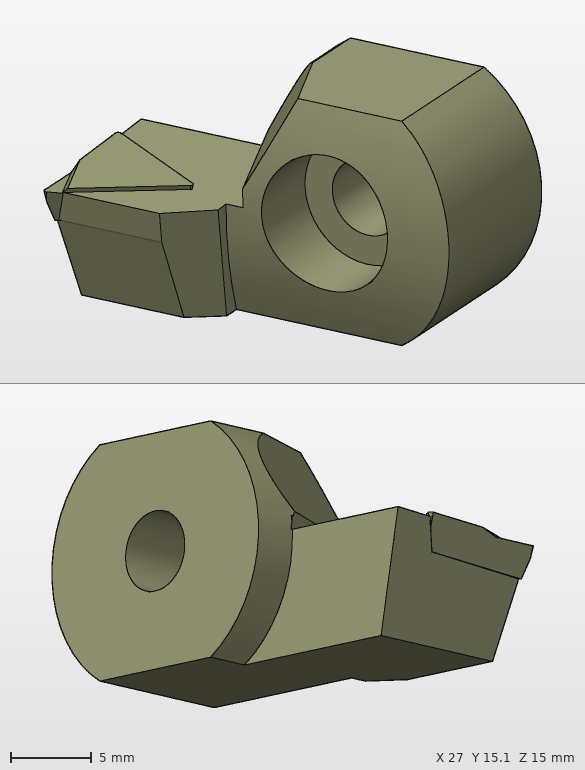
import cadquery as cq
import math


head_radius = 8.9
height = 15.0
half_height = height / 2
crown_depth = 11.5
edge_depth = 10.2
bore_diameter = 5.1
counterbore_diameter = 9.0
counterbore_depth = 5.4

block_back = -3.02
block_bottom_left = -16.51
block_right = -7.03
left_draft = 10.4
lower_front_draft = 14.0
upper_front_draft = 8.0
draft_change_z = -2.18
block_front_y = -14.28
corner_angle = 35.0
upper_corner_x = -10.02
block_rough_top = 1.35

seat_tilt = 3.0
seat_back_z = 0.45
shoulder_x = -8.84
shoulder_turn = 19.5
shoulder_wall = 1.25
shoulder_lean = 30.0

insert_left = -18.05
insert_back_y = -5.77
insert_side = 9.56
insert_thickness = 2.37
insert_draft = 11.0
insert_nose_radius = 0.2
insert_lift = 0.3

breaker_start_y = -11.5
breaker_z = -0.04
breaker_rake = 8.0
breaker_ramp_angle = 45.0

cut_reach = 26.95


def tangent(angle):
    return math.tan(math.radians(angle))


def tilted_plane(origin):
    """Workplane parallel to the seat, with its local X along X."""
    return cq.Plane(origin=origin, xDir=(1, 0, 0), normal=(0, 0, 1)).rotated((seat_tilt, 0, 0))


def shoulder_plane(origin):
    """Profile plane across the shoulder: its normal runs along the shoulder, towards the front."""
    turned = tilted_plane(origin).rotated((0, 0, shoulder_turn))
    return cq.Plane(origin=origin, xDir=turned.xDir, normal=-turned.yDir)


def make_crowned_slab():
    """Full-height slab, flat at the back and crowned at the front."""
    return (
        cq.Workplane("YZ", origin=(-head_radius, 0, 0))
        .moveTo(0, -half_height)
        .lineTo(-edge_depth, -half_height)
        .threePointArc((-crown_depth, 0), (-edge_depth, half_height))
        .lineTo(0, half_height)
        .close()
        .extrude(2 * head_radius)
    )


def make_head():
    disc = cq.Workplane("XZ").circle(head_radius).extrude(crown_depth)
    web = cq.Workplane("XY").box(
        -block_right, crown_depth + block_back, half_height + block_rough_top, centered=False
    ).translate((block_right, -crown_depth, -half_height))
    return disc.union(web).intersect(make_crowned_slab())


def block_section(z, front_y, corner_x):
    """Horizontal outline of the block at one height."""
    left = block_bottom_left - (z + half_height) * tangent(left_draft)
    bevel_end_y = front_y + (block_right - corner_x) * tangent(corner_angle)
    points = [
        (left, block_back),
        (left, front_y),
        (corner_x, front_y),
        (block_right, bevel_end_y),
        (block_right, block_back),
    ]
    return cq.Wire.makePolygon([cq.Vector(x, y, z) for x, y in points], close=True)


def make_block():
    lower_height = draft_change_z + half_height
    bottom_y = block_front_y + lower_height * tangent(lower_front_draft)
    top_y = block_front_y - (block_rough_top - draft_change_z) * tangent(upper_front_draft)
    draft_gain = lower_height * (tangent(lower_front_draft) - tangent(upper_front_draft))
    lower_corner_x = upper_corner_x + draft_gain / tangent(corner_angle)
    bottom = block_section(-half_height, bottom_y, lower_corner_x)
    middle = block_section(draft_change_z, block_front_y, upper_corner_x)
    top = block_section(block_rough_top, top_y, upper_corner_x)
    lower_part = cq.Solid.makeLoft([bottom, middle], True)
    upper_part = cq.Solid.makeLoft([middle, top], True)
    return cq.Workplane(lower_part).union(cq.Workplane(upper_part))


def make_seat_cutter():
    """Everything above the seat, up to the shoulder wall and its leaning relief."""
    relief_x = (cut_reach - shoulder_wall) * tangent(shoulder_lean)
    return (
        cq.Workplane(shoulder_plane((shoulder_x, block_back, seat_back_z)))
        .polyline([
            (-cut_reach, 0),
            (0, 0),
            (0, shoulder_wall),
            (relief_x, cut_reach),
            (-cut_reach, cut_reach),
        ])
        .close()
        .extrude(cut_reach, both=True)
    )


def make_insert_blank():
    seat_drop = (block_back - insert_back_y) * tangent(seat_tilt)
    top_z = seat_back_z - seat_drop + insert_lift
    top_plane = tilted_plane((insert_left, insert_back_y, top_z))
    apex_x = insert_side * math.cos(math.radians(30))
    corners = [(0, 0), (0, -insert_side), (apex_x, -insert_side / 2)]
    outline = cq.Sketch().polygon([*corners, corners[0]]).vertices().fillet(insert_nose_radius)
    return cq.Workplane(top_plane).placeSketch(outline).extrude(-insert_thickness, taper=insert_draft)


def make_breaker_cutter():
    return (
        cq.Workplane(shoulder_plane((insert_left, breaker_start_y, breaker_z)))
        .polyline([
            (-cut_reach, cut_reach * tangent(breaker_rake)),
            (0, 0),
            (cut_reach * tangent(breaker_ramp_angle), cut_reach),
            (-cut_reach, cut_reach),
        ])
        .close()
        .extrude(cut_reach, both=True)
    )


def make_holder(insert_blank):
    holder = make_head().union(make_block()).cut(make_seat_cutter())
    bore = cq.Workplane("XZ").circle(bore_diameter / 2).extrude(crown_depth)
    counterbore = (
        cq.Workplane("XZ", origin=(0, -crown_depth, 0))
        .circle(counterbore_diameter / 2)
        .extrude(-counterbore_depth)
    )
    return holder.cut(bore).cut(counterbore).cut(insert_blank)


insert_blank = make_insert_blank()
insert = insert_blank.cut(make_breaker_cutter())
holder = make_holder(insert_blank)

result = cq.Compound.makeCompound([holder.val(), insert.val()])